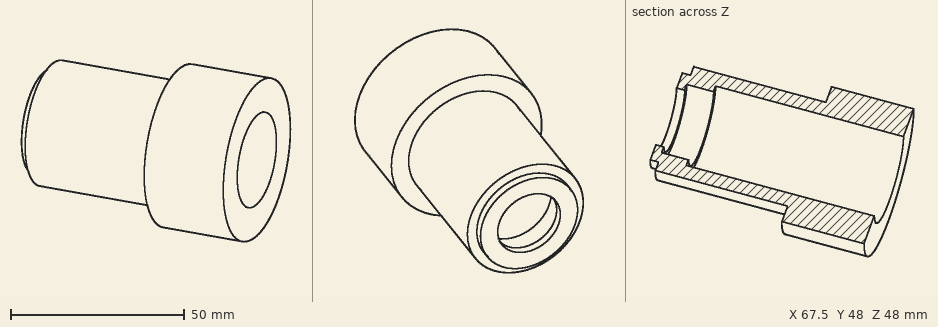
import cadquery as cq

total_length = 67.5
spigot_length = 2.5
head_length = 25.0
spigot_diameter = 31.0
body_diameter = 37.0
head_diameter = 48.0
bore_diameter = 20.0
bore_land_length = 2.5
middle_bore_diameter = 24.0
middle_bore_end = 10.6
wide_bore_diameter = 28.0

body_start = spigot_length
head_start = total_length - head_length


def cylinder(start, end, diameter):
    """Solid cylinder on the X axis between two stations."""
    return cq.Workplane("YZ", origin=(start, 0, 0)).circle(diameter / 2).extrude(end - start)


spigot = cylinder(0, body_start, spigot_diameter)
body = cylinder(body_start, head_start, body_diameter)
head = cylinder(head_start, total_length, head_diameter)

land_bore = cylinder(0, bore_land_length, bore_diameter)
middle_bore = cylinder(bore_land_length, middle_bore_end, middle_bore_diameter)
wide_bore = cylinder(middle_bore_end, total_length, wide_bore_diameter)

outside = spigot.union(body).union(head)
result = outside.cut(land_bore).cut(middle_bore).cut(wide_bore)